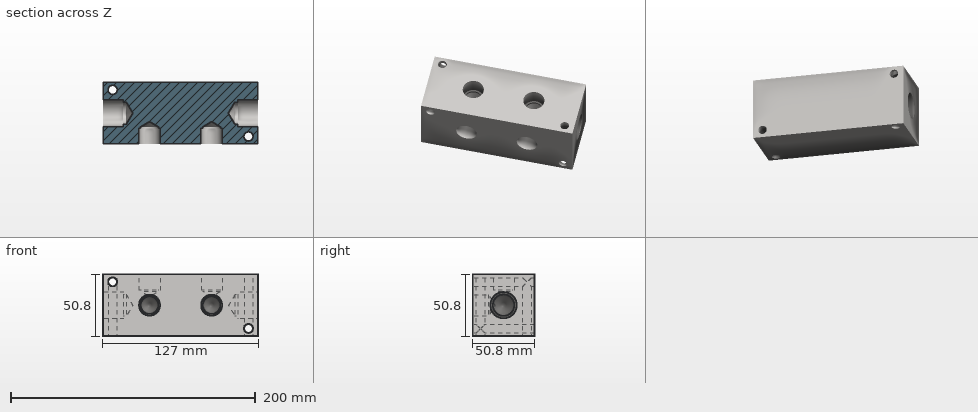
import cadquery as cq
import math

length = 127.0
side = 50.8

side_port_spacing = 50.8
side_port_diameter = 17.3
side_port_depth = 12.7
side_drill_diameter = 14.4
side_drill_depth = 14.0
end_port_diameter = 21.6
end_port_depth = 16.5
end_drill_diameter = 17.5
end_drill_depth = 19.0
drill_point_angle = 118.0

mount_diameter = 7.1
mount_spacing_long = 111.1
mount_spacing_short = 38.1


def stepped_port(port_diameter, port_depth, drill_diameter, drill_depth):
    """Solid of a port that starts at the origin and runs along -Z; depths are to the full diameter."""
    port_radius = port_diameter / 2
    drill_radius = drill_diameter / 2
    tip_depth = drill_depth + drill_radius / math.tan(math.radians(drill_point_angle / 2))
    return (
        cq.Workplane("XZ")
        .moveTo(0, 0)
        .lineTo(port_radius, 0)
        .lineTo(port_radius, -port_depth)
        .lineTo(drill_radius, -port_depth)
        .lineTo(drill_radius, -drill_depth)
        .lineTo(0, -tip_depth)
        .close()
        .revolve(360, (0, 0, 0), (0, 1, 0))
    )


def top_face_holes():
    """Cutters for two ports in the +Z face and two mounting holes along Z; the block is centred."""
    port = stepped_port(side_port_diameter, side_port_depth, side_drill_diameter, side_drill_depth)
    cutters = (
        cq.Workplane("XY")
        .pushPoints([
            (-mount_spacing_long / 2, mount_spacing_short / 2),
            (mount_spacing_long / 2, -mount_spacing_short / 2),
        ])
        .circle(mount_diameter / 2)
        .extrude(side, both=True)
    )
    for x in (-side_port_spacing / 2, side_port_spacing / 2):
        cutters = cutters.add(port.translate((x, 0, side / 2)))
    return cutters.combine()


def end_ports():
    """Cutters for one port in the -X face and its twin in the +X face."""
    port = stepped_port(end_port_diameter, end_port_depth, end_drill_diameter, end_drill_depth)
    left_port = port.rotate((0, 0, 0), (0, 1, 0), -90).translate((-length / 2, 0, 0))
    return left_port.add(left_port.mirror("YZ")).combine()


block = cq.Workplane("XY").box(length, side, side)
top_holes = top_face_holes()
front_holes = top_holes.rotate((0, 0, 0), (1, 0, 0), 90)

result = block.cut(top_holes).cut(front_holes).cut(end_ports())